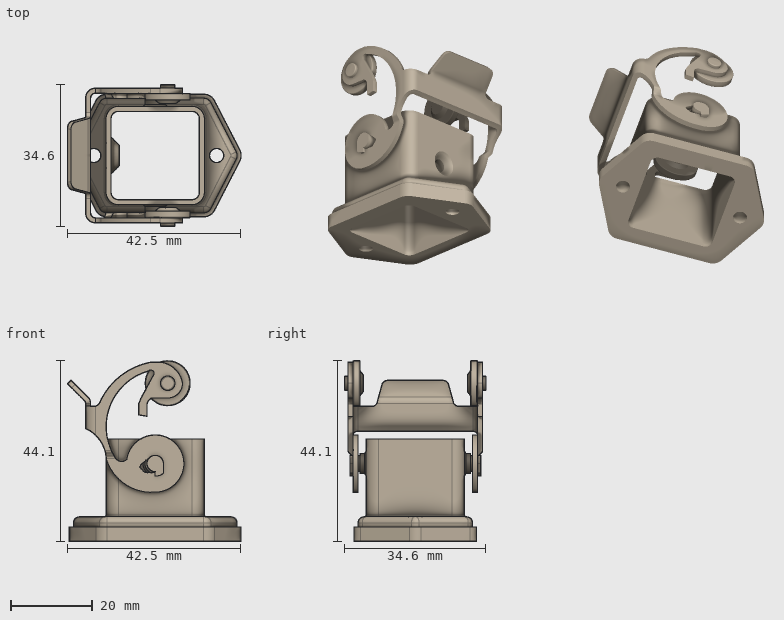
import cadquery as cq
import math

TIP_CENTER_X = 18.0
CORNER_CENTER_X = 11.83
CORNER_CENTER_Y = 12.0
LOWER_CORNER_R = 3.0
UPPER_CORNER_R = 2.0
LOWER_HEIGHT = 3.5
BASE_TOP = 6.0
BASE_EDGE_R = 1.5
SCREW_HOLE_DIA = 3.4
SCREW_HOLE_X = 15.0

BODY_SIDE = 24.0
BODY_HALF = BODY_SIDE / 2
BODY_TOP = 25.0
BODY_CORNER_R = 3.0
WALL = 1.25
BODY_ROOT_R = 0.45

SEAT_Z = 14.0
SEAT_MOUTH_R = 3.15
SEAT_BORE_R = 1.6
SEAT_BOSS_R = 2.5
SEAT_BOSS_LENGTH = 3.25

SHEET = 1.25
LEVER_HALF_Y = 16.45
LEVER_FRONT_X = -17.0
BAND_TOP = 33.0
BAND_BOTTOM = 27.5
ARM_TOP = 43.75
BEND_OUTER_R = 2.4
ARM_FACE_Y = LEVER_HALF_Y - SHEET
CAM_FACE_Y = ARM_FACE_Y - SHEET
JOG_TOP = 21.85
JOG_ANGLE = 45.0
JOG_BEND_R = 0.8
JOG_END_X = -8.2
CAM_SPLIT_Z = 28.0
LEVER_REACH_X = 10.0
LEVER_REACH_Z = 46.0

PIVOT_Z = 19.0
CAM_R = 7.0
NOTCH_ANGLE = math.radians(8.2)
PIN_R = 2.0
PIN_END_Y = 16.0
COLLAR_R = 2.5
COLLAR_ROOT_R = 3.0
COLLAR_ROOT_Y = 12.4
COLLAR_END_Y = 13.5
KEY_R = 3.1
SLOT_DEPTH = 2.2

ROLLER_X = 3.05
ROLLER_Z = 38.6
ROLLER_R = 5.5
ROLLER_INNER_Y = 13.5
ROLLER_EDGE_R = 0.2
RIVET_R = 1.77
RIVET_END_Y = 17.3
RIVET_EDGE_R = 0.25
HUB_ROOT_R = 3.05
HUB_END_R = 2.05
HUB_END_Y = 12.7

TAB_BEND_Z = 34.05
TAB_TIP_X = -21.45
TAB_ANGLE = 45.0
TAB_FLARE_HALF = 10.5
TAB_FLARE_MID_Y = 9.85
TAB_FLARE_MID_Z = 33.2
TAB_ROOT_HALF = 9.4
TAB_ROOT_Z = 33.7
TAB_TIP_HALF = 7.85
TAB_TIP_CORNER_R = 1.8
TAB_BEND_R = 1.0


def along_y(shape_on_xz, start, end):
    """Extrude a sketch on the XZ plane between two Y positions."""
    return shape_on_xz.extrude(-(end - start)).translate((0, start, 0))


def cone_along(axis_start, axis, start_radius, end_radius, length):
    """Truncated cone running from axis_start along axis."""
    solid = cq.Solid.makeCone(start_radius, end_radius, length, cq.Vector(*axis_start), cq.Vector(*axis))
    return cq.Workplane(obj=solid)


def disc_y(center_x, center_z, radius, start, end):
    """Round disc with its axis along Y."""
    sketch = cq.Workplane("XZ").center(center_x, center_z).circle(radius)
    return along_y(sketch, start, end)


def mirrored(half):
    """Add the mirror image across the XZ plane."""
    return half.union(half.mirror("XZ"))


def base_plate(corner_radius, height):
    centers = [
        (TIP_CENTER_X, 0),
        (CORNER_CENTER_X, CORNER_CENTER_Y),
        (-CORNER_CENTER_X, CORNER_CENTER_Y),
        (-TIP_CENTER_X, 0),
        (-CORNER_CENTER_X, -CORNER_CENTER_Y),
        (CORNER_CENTER_X, -CORNER_CENTER_Y),
    ]
    return cq.Workplane("XY").polyline(centers).close().offset2D(corner_radius).extrude(height)


def housing():
    lower = base_plate(LOWER_CORNER_R, LOWER_HEIGHT)
    upper = base_plate(UPPER_CORNER_R, BASE_TOP).faces(">Z").edges().fillet(BASE_EDGE_R)
    tower = cq.Workplane("XY").rect(BODY_SIDE, BODY_SIDE).extrude(BODY_TOP)
    tower = tower.edges("|Z").fillet(BODY_CORNER_R)
    body = upper.union(tower)
    root = cq.selectors.BoxSelector(
        (-BODY_HALF - BODY_ROOT_R / 2, -BODY_HALF - BODY_ROOT_R / 2, BASE_TOP - BODY_ROOT_R / 2),
        (BODY_HALF + BODY_ROOT_R / 2, BODY_HALF + BODY_ROOT_R / 2, BASE_TOP + BODY_ROOT_R / 2),
    )
    body = body.edges(root).fillet(BODY_ROOT_R)
    body = body.union(lower)

    opening_side = BODY_SIDE - 2 * WALL
    opening = cq.Workplane("XY").rect(opening_side, opening_side).extrude(BODY_TOP)
    opening = opening.edges("|Z").fillet(BODY_CORNER_R - WALL)
    screws = cq.Workplane("XY").pushPoints([(-SCREW_HOLE_X, 0), (SCREW_HOLE_X, 0)])
    screws = screws.circle(SCREW_HOLE_DIA / 2).extrude(BASE_TOP)
    return body.cut(opening).cut(screws)


def add_screw_seat(body):
    mouth = (-BODY_HALF, 0, SEAT_Z)
    inward = (1, 0, 0)
    boss_base_x = -BODY_HALF + WALL
    boss_length = SEAT_BOSS_LENGTH - WALL
    boss = cone_along((boss_base_x, 0, SEAT_Z), inward, SEAT_BOSS_R + boss_length, SEAT_BOSS_R, boss_length)
    sink = cone_along(mouth, inward, SEAT_MOUTH_R, SEAT_BORE_R, SEAT_MOUTH_R - SEAT_BORE_R)
    bore = cq.Workplane("YZ").center(0, SEAT_Z).circle(SEAT_BORE_R).extrude(SEAT_BOSS_LENGTH)
    bore = bore.translate((-BODY_HALF, 0, 0))
    return body.union(boss).cut(sink).cut(bore)


def lever_outline():
    """Side outline of the lever: cross band, curved arm with hook, and pivot cam."""
    cam_diagonal = CAM_R * math.sqrt(0.5)
    notch_end = (-CAM_R * math.cos(NOTCH_ANGLE), PIVOT_Z + CAM_R * math.sin(NOTCH_ANGLE))
    return (
        cq.Workplane("XZ")
        .moveTo(LEVER_FRONT_X, BAND_BOTTOM)
        .lineTo(LEVER_FRONT_X, BAND_TOP)
        .lineTo(LEVER_FRONT_X + BEND_OUTER_R, BAND_TOP)
        .threePointArc((-13.75, 33.6), (-13.3, 34.5))
        .threePointArc((-8.3, 40.55), (-1.2, ARM_TOP))
        .lineTo(1.2, ARM_TOP)
        .threePointArc((4.7, 42.2), (6.67, ROLLER_Z))
        .threePointArc((5.6, 36.05), (ROLLER_X, 35.0))
        .lineTo(-0.4, 35.0)
        .threePointArc((-1.5, 34.5), (-1.95, 33.5))
        .lineTo(-1.95, 30.5)
        .lineTo(-4.05, 30.85)
        .lineTo(-4.05, 33.6)
        .lineTo(-3.5, 34.95)
        .lineTo(-0.35, 40.7)
        .threePointArc((-0.65, 41.7), (-1.55, 41.6))
        .threePointArc((-11.96, 28.45), (-9.55, 20.1))
        .threePointArc((JOG_END_X, 19.5), notch_end)
        .threePointArc((0, PIVOT_Z + CAM_R), (CAM_R, PIVOT_Z))
        .threePointArc((cam_diagonal, PIVOT_Z - cam_diagonal), (0, PIVOT_Z - CAM_R))
        .threePointArc((-9.0, 15.25), (-12.0, 20.25))
        .threePointArc((-13.6, 24.8), (LEVER_FRONT_X, BAND_BOTTOM))
        .close()
    )


def lever_sheet():
    """Bent U sheet whose two sides step inward from the arms to the cams."""
    bend_end_x = LEVER_FRONT_X + BEND_OUTER_R
    length = LEVER_REACH_X - LEVER_FRONT_X
    outer = cq.Workplane("XY").box(length, 2 * LEVER_HALF_Y, LEVER_REACH_Z, centered=(False, True, False))
    outer = outer.edges("|Z and <X").fillet(BEND_OUTER_R)
    inner = cq.Workplane("XY").box(length, 2 * ARM_FACE_Y, LEVER_REACH_Z, centered=(False, True, False))
    inner = inner.edges("|Z and <X").fillet(BEND_OUTER_R - SHEET)
    bend = outer.cut(inner.translate((SHEET, 0, 0))).translate((LEVER_FRONT_X, 0, 0))
    front = cq.Workplane("XY").box(
        BEND_OUTER_R, 2 * LEVER_HALF_Y, LEVER_REACH_Z, centered=(False, True, False)
    )
    bend = bend.intersect(front.translate((LEVER_FRONT_X, 0, 0)))

    inner_shift = SHEET * math.tan(math.radians(JOG_ANGLE / 2))
    jog_bottom = JOG_TOP - SHEET / math.tan(math.radians(JOG_ANGLE))
    jog_profile = [
        (LEVER_HALF_Y, LEVER_REACH_Z),
        (LEVER_HALF_Y, JOG_TOP),
        (ARM_FACE_Y, jog_bottom),
        (ARM_FACE_Y, 0),
        (CAM_FACE_Y, 0),
        (CAM_FACE_Y, jog_bottom + inner_shift),
        (ARM_FACE_Y, JOG_TOP + inner_shift),
        (ARM_FACE_Y, LEVER_REACH_Z),
    ]
    side = cq.Workplane("YZ").polyline(jog_profile).close().extrude(JOG_END_X - bend_end_x)
    jog_bends = cq.selectors.BoxSelector(
        (-length, 0, JOG_TOP - 2 * SHEET), (length, LEVER_REACH_Z, JOG_TOP + 2 * SHEET)
    )
    side = side.edges("|X").edges(jog_bends).fillet(JOG_BEND_R)
    side = side.translate((bend_end_x, 0, 0))

    flat_length = LEVER_REACH_X - JOG_END_X
    cam_blank = cq.Workplane("XY").box(flat_length, SHEET, CAM_SPLIT_Z, centered=False)
    cam_blank = cam_blank.translate((JOG_END_X, CAM_FACE_Y, 0))
    arm_blank = cq.Workplane("XY").box(flat_length, SHEET, LEVER_REACH_Z - CAM_SPLIT_Z, centered=False)
    arm_blank = arm_blank.translate((JOG_END_X, ARM_FACE_Y, CAM_SPLIT_Z))
    return bend.union(mirrored(side.union(cam_blank).union(arm_blank)))


def thumb_tab():
    lean = math.radians(TAB_ANGLE)
    back_x = LEVER_FRONT_X + SHEET
    back_bend_z = TAB_BEND_Z + SHEET * math.tan(lean / 2)
    tip_z = TAB_BEND_Z + (LEVER_FRONT_X - TAB_TIP_X) / math.tan(lean)
    tip_back = (TAB_TIP_X + SHEET * math.cos(lean), tip_z + SHEET * math.sin(lean))
    strip_profile = [
        (LEVER_FRONT_X, BAND_TOP),
        (LEVER_FRONT_X, TAB_BEND_Z),
        (TAB_TIP_X, tip_z),
        tip_back,
        (back_x, back_bend_z),
        (back_x, BAND_TOP),
    ]
    strip = along_y(cq.Workplane("XZ").polyline(strip_profile).close(), -TAB_FLARE_HALF, TAB_FLARE_HALF)
    front_bend = cq.selectors.NearestToPointSelector((LEVER_FRONT_X, 0, TAB_BEND_Z))
    strip = strip.edges(front_bend).fillet(TAB_BEND_R)
    back_bend = cq.selectors.NearestToPointSelector((back_x, 0, back_bend_z))
    strip = strip.edges(back_bend).fillet(TAB_BEND_R + SHEET)

    outline = (
        cq.Workplane("YZ")
        .moveTo(-TAB_FLARE_HALF, BAND_TOP)
        .threePointArc((-TAB_FLARE_MID_Y, TAB_FLARE_MID_Z), (-TAB_ROOT_HALF, TAB_ROOT_Z))
        .lineTo(-TAB_TIP_HALF, tip_back[1])
        .lineTo(TAB_TIP_HALF, tip_back[1])
        .lineTo(TAB_ROOT_HALF, TAB_ROOT_Z)
        .threePointArc((TAB_FLARE_MID_Y, TAB_FLARE_MID_Z), (TAB_FLARE_HALF, BAND_TOP))
        .close()
        .extrude(TAB_TIP_X - SHEET)
    )
    tab = strip.intersect(outline)
    tip = ((TAB_TIP_X + tip_back[0]) / 2, (tip_z + tip_back[1]) / 2)
    for side in (-1, 1):
        corner = cq.selectors.NearestToPointSelector((tip[0], side * TAB_TIP_HALF, tip[1]))
        tab = tab.edges(corner).fillet(TAB_TIP_CORNER_R)
    return tab


def cam_opening():
    """Pointed insertion slot through both cams, beside the pin."""
    slot = [
        (-1.35, 1.48),
        (-3.5, -0.3),
        (-3.8, -0.9),
        (-2.55, -SLOT_DEPTH),
        (0, -SLOT_DEPTH),
        (0, 0),
    ]
    sketch = cq.Workplane("XZ").center(0, PIVOT_Z).polyline(slot).close()
    return along_y(sketch, -LEVER_HALF_Y, LEVER_HALF_Y)


def pivot():
    """Pivot on the +Y side: conical root, collar, pin and locking key."""
    outward = (0, 1, 0)
    root = cone_along((0, BODY_HALF, PIVOT_Z), outward, COLLAR_ROOT_R, COLLAR_R, COLLAR_ROOT_Y - BODY_HALF)
    collar = disc_y(0, PIVOT_Z, COLLAR_R, COLLAR_ROOT_Y, COLLAR_END_Y)
    pin = disc_y(0, PIVOT_Z, PIN_R, COLLAR_END_Y, PIN_END_Y)
    key_window = cq.Workplane("XZ").center(0, PIVOT_Z).rect(PIN_R, -KEY_R, centered=False)
    key = disc_y(0, PIVOT_Z, KEY_R, ARM_FACE_Y, PIN_END_Y)
    key = key.intersect(along_y(key_window, ARM_FACE_Y, PIN_END_Y))
    return root.union(collar).union(pin).union(key)


def roller():
    """Roller on the +Y side with its rivet head and inner hub."""
    inward = (0, -1, 0)
    wheel = disc_y(ROLLER_X, ROLLER_Z, ROLLER_R, ROLLER_INNER_Y, ARM_FACE_Y).edges().fillet(ROLLER_EDGE_R)
    rivet = disc_y(ROLLER_X, ROLLER_Z, RIVET_R, ARM_FACE_Y, RIVET_END_Y)
    rivet = rivet.faces(">Y").edges().fillet(RIVET_EDGE_R)
    hub_start = (ROLLER_X, ROLLER_INNER_Y, ROLLER_Z)
    hub = cone_along(hub_start, inward, HUB_ROOT_R, HUB_END_R, ROLLER_INNER_Y - HUB_END_Y)
    return wheel.union(rivet).union(hub)


def lever():
    silhouette = along_y(lever_outline(), -LEVER_HALF_Y, LEVER_HALF_Y)
    frame = lever_sheet().intersect(silhouette).union(thumb_tab())
    return frame.cut(cam_opening())


result = (
    add_screw_seat(housing())
    .union(lever())
    .union(mirrored(pivot()))
    .union(mirrored(roller()))
)